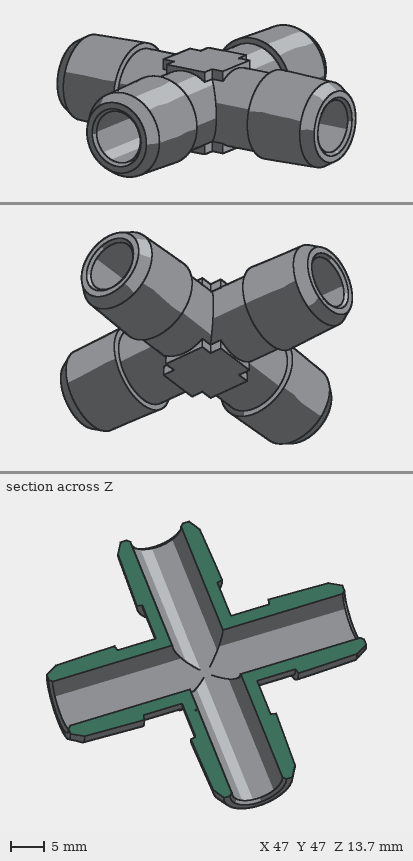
import cadquery as cq

span = 47.0
reach = span / 2

bore_radius = 8.0 / 2
pipe_radius = 12.0 / 2
nose_radius = 10.9 / 2
barb_front_radius = 13.05 / 2
barb_rear_radius = 13.65 / 2

nose_length = 1.9
barb_length = 11.3
barb_undercut = 0.2
mouth_chamfer = 0.45

pad_length = 10.9
pad_width = 6.95
pad_height = 12.9


def arm():
    """Solid barbed arm along +X, revolved from its half profile."""
    barb_front = reach - nose_length
    barb_rear = reach - barb_length
    profile = (
        cq.Workplane("XY")
        .moveTo(0, 0)
        .lineTo(0, pipe_radius)
        .lineTo(barb_rear - barb_undercut, pipe_radius)
        .lineTo(barb_rear, barb_rear_radius)
        .lineTo(barb_front, barb_front_radius)
        .lineTo(reach, nose_radius)
        .lineTo(reach, 0)
        .close()
    )
    return profile.revolve(360, (0, 0, 0), (1, 0, 0))


def arm_bore():
    """Bore of one arm along +X, with a chamfered mouth."""
    profile = (
        cq.Workplane("XY")
        .moveTo(0, 0)
        .lineTo(0, bore_radius)
        .lineTo(reach - mouth_chamfer, bore_radius)
        .lineTo(reach, bore_radius + mouth_chamfer)
        .lineTo(reach, 0)
        .close()
    )
    return profile.revolve(360, (0, 0, 0), (1, 0, 0))


def around_z(shape):
    """Join four copies of a shape at quarter turns about Z."""
    joined = shape
    for angle in (90, 180, 270):
        joined = joined.union(shape.rotate((0, 0, 0), (0, 0, 1), angle))
    return joined


pad_bar = cq.Workplane("XY").box(pad_length, pad_width, pad_height)
pads = pad_bar.union(pad_bar.rotate((0, 0, 0), (0, 0, 1), 90))

result = around_z(arm()).union(pads).cut(around_z(arm_bore()))